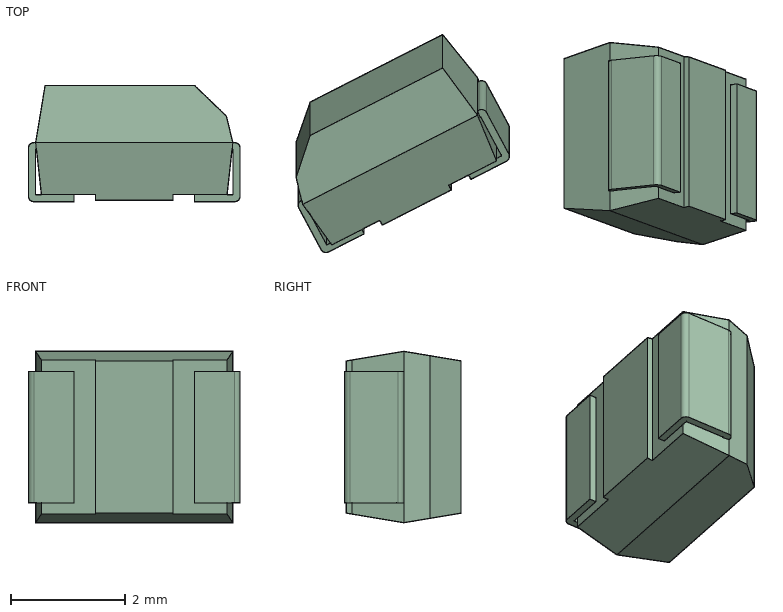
import cadquery as cq
import math

case_length = 3.45
case_width = 3.0
upper_height = 1.0
lower_height = 0.91
side_draft = math.tan(math.radians(9.5))

upper_left_inset = 0.165
bevel_run = 0.56
bevel_drop = 0.54
upper_right_inset = 0.112

lower_end_inset = 0.1
pad_length = 1.36
pad_height = 0.1

lead_thickness = 0.127
lead_width = 2.3
foot_length = 0.8
bend_radius = 0.1

half_length = case_length / 2
half_width = case_width / 2
half_pad = pad_length / 2
lead_outer_x = half_length + lead_thickness
foot_bottom_y = -lower_height - lead_thickness


def extrude_along_z(outline, width):
    return cq.Workplane("XY").polyline(outline).close().extrude(width / 2, both=True)


def drafted_sides(height, direction):
    """Prism along X that narrows in Z from the parting plane to its far face."""
    far_y = direction * height
    far_z = half_width - height * side_draft
    outline = [(0, -half_width), (far_y, -far_z), (far_y, far_z), (0, half_width)]
    return cq.Workplane("YZ").polyline(outline).close().extrude(half_length, both=True)


def make_upper_case():
    flank_top_x = half_length - upper_right_inset
    outline = [
        (-half_length, 0),
        (half_length, 0),
        (flank_top_x, upper_height - bevel_drop),
        (flank_top_x - bevel_run, upper_height),
        (-half_length + upper_left_inset, upper_height),
    ]
    return extrude_along_z(outline, case_width).intersect(drafted_sides(upper_height, 1))


def make_lower_case():
    pad_bottom = -lower_height - pad_height
    bottom_x = half_length - lower_end_inset
    outline = [
        (-half_length, 0),
        (-bottom_x, -lower_height),
        (-half_pad, -lower_height),
        (-half_pad, pad_bottom),
        (half_pad, pad_bottom),
        (half_pad, -lower_height),
        (bottom_x, -lower_height),
        (half_length, 0),
    ]
    sides = drafted_sides(lower_height + pad_height, -1)
    return extrude_along_z(outline, case_width).intersect(sides)


def make_lead(end):
    """Lead at the -X end (end = -1) or the +X end (end = 1)."""
    tab_end_x = half_length - lead_thickness * lower_end_inset / lower_height
    foot_end_x = lead_outer_x - foot_length
    outline = [
        (end * half_length, 0),
        (end * lead_outer_x, 0),
        (end * lead_outer_x, foot_bottom_y),
        (end * foot_end_x, foot_bottom_y),
        (end * foot_end_x, -lower_height),
        (end * half_length, -lower_height),
        (end * half_length, -lead_thickness),
        (end * tab_end_x, -lead_thickness),
    ]
    outer_face = ">X" if end > 0 else "<X"
    outer_bends = f"({outer_face} and |Z)"
    return extrude_along_z(outline, lead_width).edges(outer_bends).fillet(bend_radius)


upper_case = make_upper_case()
lower_case = make_lower_case()
leads = [make_lead(end) for end in (-1, 1)]

result = cq.Compound.makeCompound(
    [upper_case.val(), lower_case.val(), *[lead.val() for lead in leads]]
)